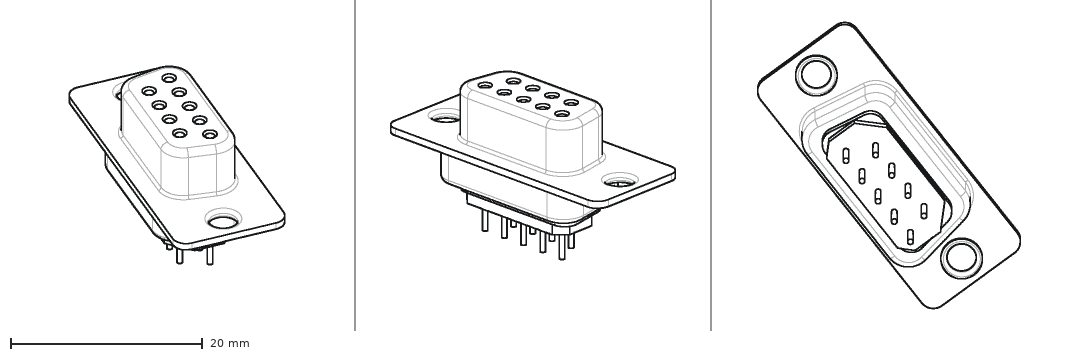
import cadquery as cq
import math

PLATE_LENGTH = 30.8
PLATE_WIDTH = 12.55
PLATE_THICKNESS = 0.8
PLATE_CORNER_RADIUS = 1.5

SIDE_ANGLE = math.radians(10)

SHELL_HEIGHT = 5.85
SHELL_HALF_WIDTH = 3.97
SHELL_SHORT_EDGE = 10.3
SHELL_CORNER_RADIUS = 2.5
SHELL_RIM_FILLET = 0.75

CAN_DEPTH = 4.05
CAN_HALF_WIDTH = 5.35
CAN_SHORT_EDGE = 12.2
CAN_CORNER_RADIUS = 2.5
CAN_RIM_FILLET = 0.68

JUNCTION_RADIUS = 0.3

COLLAR_HEIGHT = 1.05
COLLAR_HALF_WIDTH = 3.48
COLLAR_SHORT_EDGE = 11.45
COLLAR_CORNER_RADIUS = 1.55
BASE_HEIGHT = 1.17
BASE_HALF_LENGTH = 7.43
BASE_HALF_WIDTH = 3.5
BASE_FRONT_CHAMFER = 2.4
BASE_BACK_CHAMFER = 1.3

CONTACT_PITCH = 2.77
ROW_OFFSET = 1.42
BACK_ROW_COUNT = 5
FRONT_ROW_COUNT = 4
PIN_DIAMETER = 0.6
PIN_LENGTH = 3.48
SOCKET_DIAMETER = 1.0
SOCKET_CHAMFER = 0.25
SOCKET_DEPTH = 0.92

MOUNT_HALF_SPACING = 12.5
MOUNT_POINTS = [(-MOUNT_HALF_SPACING, 0), (MOUNT_HALF_SPACING, 0)]
MOUNT_HOLE_DIAMETER = 3.05
MOUNT_EDGE_RADIUS = 0.4
MOUNT_RING_DIAMETER = 4.35
MOUNT_RING_HEIGHT = 0.3

PICK_MARGIN = 0.03

PLATE_BOTTOM = -PLATE_THICKNESS
CAN_BOTTOM = PLATE_BOTTOM - CAN_DEPTH
COLLAR_BOTTOM = CAN_BOTTOM - COLLAR_HEIGHT
BASE_BOTTOM = COLLAR_BOTTOM - BASE_HEIGHT


def d_prism(half_width, short_edge, corner_radius, bottom, height):
    """Rounded D prism; short_edge is the straight stretch of its -Y side."""
    corner_y = half_width - corner_radius
    front_x = short_edge / 2
    back_x = front_x + 2 * corner_y * math.tan(SIDE_ANGLE)
    front_tip = front_x + corner_radius * math.tan(math.pi / 4 - SIDE_ANGLE / 2)
    back_tip = back_x + corner_radius * math.tan(math.pi / 4 + SIDE_ANGLE / 2)
    corners = [
        (-front_tip, -half_width),
        (front_tip, -half_width),
        (back_tip, half_width),
        (-back_tip, half_width),
    ]
    prism = cq.Workplane("XY").workplane(offset=bottom).polyline(corners).close().extrude(height)
    return prism.edges("|Z").fillet(corner_radius)


def contact_points():
    """Centres of all nine contacts in the XY plane."""
    points = []
    for count, y in ((BACK_ROW_COUNT, ROW_OFFSET), (FRONT_ROW_COUNT, -ROW_OFFSET)):
        for i in range(count):
            points.append(((i - (count - 1) / 2) * CONTACT_PITCH, y))
    return points


def make_plate():
    plate = cq.Workplane("XY").box(PLATE_LENGTH, PLATE_WIDTH, PLATE_THICKNESS, centered=(True, True, False))
    return plate.edges("|Z").fillet(PLATE_CORNER_RADIUS).translate((0, 0, PLATE_BOTTOM))


def make_shell():
    shell = d_prism(SHELL_HALF_WIDTH, SHELL_SHORT_EDGE, SHELL_CORNER_RADIUS, 0, SHELL_HEIGHT)
    return shell.faces(">Z").edges().fillet(SHELL_RIM_FILLET)


def make_can():
    can = d_prism(CAN_HALF_WIDTH, CAN_SHORT_EDGE, CAN_CORNER_RADIUS, CAN_BOTTOM, CAN_DEPTH)
    return can.faces("<Z").edges().fillet(CAN_RIM_FILLET)


def make_collar():
    return d_prism(COLLAR_HALF_WIDTH, COLLAR_SHORT_EDGE, COLLAR_CORNER_RADIUS, COLLAR_BOTTOM, COLLAR_HEIGHT)


def make_base():
    base = cq.Workplane("XY").box(
        2 * BASE_HALF_LENGTH, 2 * BASE_HALF_WIDTH, BASE_HEIGHT, centered=(True, True, False)
    )
    base = base.edges("|Z and <Y").chamfer(BASE_FRONT_CHAMFER)
    base = base.edges("|Z and >Y").chamfer(BASE_BACK_CHAMFER)
    return base.translate((0, 0, BASE_BOTTOM))


def make_pins():
    plane = cq.Workplane("XY").workplane(offset=BASE_BOTTOM)
    return plane.pushPoints(contact_points()).circle(PIN_DIAMETER / 2).extrude(-PIN_LENGTH)


def cut_sockets(body):
    """Blind contact sockets in the top face, each with a 45 degree lead-in."""
    mouth_diameter = SOCKET_DIAMETER + 2 * SOCKET_CHAMFER
    top = cq.Workplane("XY", origin=(0, 0, SHELL_HEIGHT)).pushPoints(contact_points())
    bores = top.circle(SOCKET_DIAMETER / 2).extrude(-SOCKET_DEPTH)
    lead_ins = top.circle(mouth_diameter / 2).extrude(-SOCKET_CHAMFER, taper=45)
    return body.cut(bores).cut(lead_ins)


def add_mount_rings(body):
    rings = (
        cq.Workplane("XY", origin=(0, 0, PLATE_BOTTOM))
        .pushPoints(MOUNT_POINTS)
        .circle(MOUNT_RING_DIAMETER / 2)
        .extrude(-MOUNT_RING_HEIGHT)
    )
    return body.union(rings)


def cut_mount_holes(body):
    """Cut spool-shaped holes: narrowest at mid-depth and flared by a quarter round at each end."""
    radius = MOUNT_HOLE_DIAMETER / 2
    mouth = radius + MOUNT_EDGE_RADIUS
    bottom = PLATE_BOTTOM - MOUNT_RING_HEIGHT
    mid_offset = MOUNT_EDGE_RADIUS * math.sqrt(0.5)
    profile = (
        cq.Workplane("XZ")
        .lineTo(mouth, 0)
        .threePointArc(
            (mouth - mid_offset, mid_offset - MOUNT_EDGE_RADIUS),
            (radius, -MOUNT_EDGE_RADIUS),
        )
        .lineTo(radius, bottom + MOUNT_EDGE_RADIUS)
        .threePointArc(
            (mouth - mid_offset, bottom + MOUNT_EDGE_RADIUS - mid_offset),
            (mouth, bottom),
        )
        .lineTo(0, bottom)
        .close()
    )
    spool = profile.revolve(360, (0, 0, 0), (0, 1, 0))
    for x, y in MOUNT_POINTS:
        body = body.cut(spool.translate((x, y, 0)))
    return body


def fillet_junctions(body):
    """Round the inside corners where the shell and the can rise from the plate."""
    reach_x = MOUNT_HALF_SPACING
    reach_y = PLATE_WIDTH / 2 - PICK_MARGIN
    for level in (0, PLATE_BOTTOM):
        slice_at_level = cq.selectors.BoxSelector(
            (-reach_x, -reach_y, level - PICK_MARGIN),
            (reach_x, reach_y, level + PICK_MARGIN),
        )
        body = body.edges(slice_at_level).fillet(JUNCTION_RADIUS)
    return body


body = make_plate().union(make_shell()).union(make_can())
body = fillet_junctions(body)
body = add_mount_rings(body)
body = cut_mount_holes(body)
body = body.union(make_collar()).union(make_base()).union(make_pins())
result = cut_sockets(body)